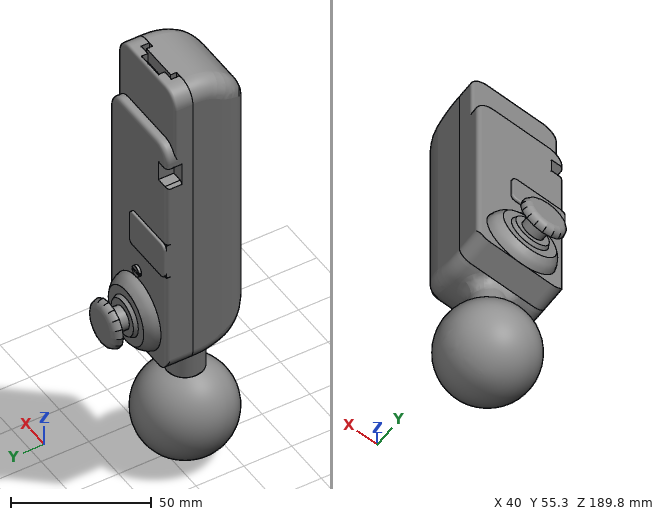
import cadquery as cq
import math


BALL_R = 20.0
STEM_R = 15.0 / 2
STEM_CHAMFER = 1.0
SEAT_Z = math.sqrt(BALL_R**2 - (STEM_R - STEM_CHAMFER) ** 2)
STEM_ROOT_R = 4.5

HALF_WIDTH = 19.2
GRIP_BOTTOM = 39.3
GRIP_TOP = 169.8
GRIP_HEIGHT = GRIP_TOP - GRIP_BOTTOM
GRIP_MIDDLE = (GRIP_BOTTOM + GRIP_TOP) / 2
TOP_CORNER_R = 7.0
BOTTOM_CORNER_R = 5.3

FRONT_Y = -17.8
PARTING_Y = 8.5
END_ARC_R = 24.7
FRONT_EDGE_R = 28.0 / 2

COVER_BACK_Y = 16.0
COVER_EDGE_R = 1.1
PLATE_BACK_Y = 19.5
PLATE_TOP = 145.7
PLATE_RUN_OUT = 19.0
PLATE_EDGE_R = 3.5 / 2

PAD_BACK_Y = 20.7
PAD_RIGHT = 4.5
PAD_BOTTOM = 84.6
PAD_TOP = 100.2
PAD_CORNER_R = 2.3
PAD_EDGE_R = 0.5

STUD_R = 2.3
STUD_Z = 73.8
STUD_SLOT_WIDTH = 0.8
STUD_SLOT_DEPTH = 0.8

NOTCH_FLOOR_Y = 13.0
NOTCH_TOP = 136.4
NOTCH_BOTTOM = 126.7
NOTCH_CHAMFER = 1.1
NOTCH_DEPTH = 5.5

PORT_HALF_WIDTH = 10.2
PORT_ROOF_Y = 12.0
NECK_HALF_WIDTH = 5.7
NECK_ROOF_Y = 13.0
RECESS_ROOF_Y = 14.6
RECESS_DEPTH = 4.2
TONGUE_HALF_WIDTH = 8.2
TONGUE_Y = 11.0
PORT_DEPTH = 5.7

STICK_Z = 54.5
BOOT_R = 15.4
BOOT_SHOULDER_R = 12.0
BOOT_SHOULDER_Y = 24.7
BOOT_ARC_MID = (14.2, 22.4)
COLLAR_BASE_R = 8.3
COLLAR_R = 15.0 / 2
COLLAR_Y = 26.2
STICK_R = 4.7
KNOB_SIDES = 16
KNOB_BACK_Y = 35.3
KNOB_FRONT_Y = 31.7
KNOB_FRONT_R = 9.5
KNOB_BACK_R = 6.0
KNOB_ARC_MID = (9.1, 33.8)


def block(x_range, y_range, z_range):
    """Box spanning the given (low, high) ranges."""
    (x0, x1), (y0, y1), (z0, z1) = x_range, y_range, z_range
    return cq.Workplane("XY").box(x1 - x0, y1 - y0, z1 - z0, centered=False).translate((x0, y0, z0))


def back_plane(y, z=0):
    """Sketch plane at depth y whose local axes are X and Z and whose normal is -Y."""
    return cq.Workplane("XZ", origin=(0, y, z))


def grip_slab(y0, y1):
    """Slab with the grip's rounded XZ outline."""
    return (
        back_plane(y0, GRIP_MIDDLE)
        .rect(2 * HALF_WIDTH, GRIP_HEIGHT)
        .extrude(-(y1 - y0))
        .edges("|Y and >Z")
        .fillet(TOP_CORNER_R)
        .edges("|Y and <Z")
        .fillet(BOTTOM_CORNER_R)
    )


def make_housing():
    """Front half of the grip with curved ends, rounded edges, the port tongue and the stem."""
    arc_y = FRONT_Y + END_ARC_R
    diagonal = END_ARC_R * math.sqrt(0.5)
    body = (
        cq.Workplane("YZ", origin=(-HALF_WIDTH, 0, 0))
        .moveTo(PARTING_Y, GRIP_BOTTOM)
        .lineTo(arc_y, GRIP_BOTTOM)
        .threePointArc(
            (arc_y - diagonal, GRIP_BOTTOM + END_ARC_R - diagonal), (FRONT_Y, GRIP_BOTTOM + END_ARC_R)
        )
        .lineTo(FRONT_Y, GRIP_TOP - END_ARC_R)
        .threePointArc((arc_y - diagonal, GRIP_TOP - END_ARC_R + diagonal), (arc_y, GRIP_TOP))
        .lineTo(PARTING_Y, GRIP_TOP)
        .close()
        .extrude(2 * HALF_WIDTH)
    )
    rounded_front = (
        block((-HALF_WIDTH, HALF_WIDTH), (FRONT_Y, PARTING_Y), (GRIP_BOTTOM, GRIP_TOP))
        .edges("|Z and <Y")
        .fillet(FRONT_EDGE_R)
    )
    body = body.intersect(rounded_front)
    body = fillet_end(body, GRIP_MIDDLE, GRIP_TOP, TOP_CORNER_R)
    body = fillet_end(body, GRIP_BOTTOM, GRIP_MIDDLE, BOTTOM_CORNER_R)
    tongue = block(
        (-TONGUE_HALF_WIDTH, TONGUE_HALF_WIDTH), (PARTING_Y, TONGUE_Y), (GRIP_TOP - PORT_DEPTH, GRIP_TOP)
    )
    return add_stem(body).union(tongue)


def fillet_end(body, z0, z1, radius):
    """Round the edges between the sides and the curved end that lies between two heights."""
    end_box = cq.selectors.BoxSelector((-HALF_WIDTH, FRONT_Y, z0), (HALF_WIDTH, PARTING_Y, z1))
    return body.edges("not(|X or |Z)").edges(end_box).fillet(radius)


def add_stem(body):
    """Join the stem to the bottom of the grip with a filleted root and a chamfered free end."""
    stem_top = GRIP_BOTTOM + END_ARC_R
    stem = (
        cq.Workplane("XY", origin=(0, 0, SEAT_Z))
        .circle(STEM_R)
        .extrude(stem_top - SEAT_Z)
        .faces("<Z")
        .chamfer(STEM_CHAMFER)
    )
    joined = body.union(stem)
    root = cq.selectors.BoxSelector(
        (-STEM_R, -STEM_R, GRIP_BOTTOM - STEM_ROOT_R), (STEM_R, STEM_R, stem_top)
    )
    return joined.edges(root).fillet(STEM_ROOT_R)


def make_ball():
    """Ball with a flat seat for the end of the stem."""
    above_seat = block((-BALL_R, BALL_R), (-BALL_R, BALL_R), (SEAT_Z, BALL_R))
    return cq.Workplane("XY").sphere(BALL_R).cut(above_seat)


def make_cover():
    """Back half of the grip with its raised plate, pad and stud, and the notch and port cut in."""
    base = grip_slab(PARTING_Y, COVER_BACK_Y).faces(">Y").edges().fillet(COVER_EDGE_R)
    cover = base.union(make_plate()).union(make_pad()).union(make_stud())
    return cover.cut(make_notch()).cut(make_port())


def make_plate():
    """Raised plate with a rounded upper end, trimmed at the bottom to the grip outline."""
    height = PLATE_TOP - GRIP_BOTTOM + PLATE_RUN_OUT
    plate = (
        back_plane(PARTING_Y, PLATE_TOP - height / 2)
        .rect(2 * HALF_WIDTH, height)
        .extrude(-(PLATE_BACK_Y - PARTING_Y))
        .edges("|Y")
        .fillet(TOP_CORNER_R)
        .faces(">Y")
        .edges()
        .fillet(PLATE_EDGE_R)
    )
    return plate.intersect(grip_slab(PARTING_Y, PLATE_BACK_Y))


def make_pad():
    """Switch pad with rounded corners, square and flush with the grip side below the plate face."""
    pad = block((-HALF_WIDTH, PAD_RIGHT), (COVER_BACK_Y, PAD_BACK_Y), (PAD_BOTTOM, PAD_TOP))
    pad = pad.edges("|Y").fillet(PAD_CORNER_R)
    side = block((-HALF_WIDTH, 0), (COVER_BACK_Y, PLATE_BACK_Y), (PAD_BOTTOM, PAD_TOP))
    return pad.faces(">Y").edges().fillet(PAD_EDGE_R).union(side)


def make_stud():
    """Round stud with a slot across its end."""
    stud = back_plane(COVER_BACK_Y, STUD_Z).circle(STUD_R).extrude(-(PAD_BACK_Y - COVER_BACK_Y))
    slot = block(
        (-STUD_R, STUD_R),
        (PAD_BACK_Y - STUD_SLOT_DEPTH, PAD_BACK_Y),
        (STUD_Z - STUD_SLOT_WIDTH / 2, STUD_Z + STUD_SLOT_WIDTH / 2),
    )
    return stud.cut(slot)


def make_notch():
    """Cutter for the side notch, with its mouth chamfered at the lower edge."""
    inner_x = -HALF_WIDTH + NOTCH_DEPTH
    return (
        cq.Workplane("XZ", origin=(0, PLATE_BACK_Y, 0))
        .polyline(
            [
                (-HALF_WIDTH, NOTCH_BOTTOM),
                (-HALF_WIDTH + NOTCH_CHAMFER, NOTCH_BOTTOM + NOTCH_CHAMFER),
                (inner_x, NOTCH_BOTTOM + NOTCH_CHAMFER),
                (inner_x, NOTCH_TOP),
                (-HALF_WIDTH, NOTCH_TOP),
            ]
        )
        .close()
        .extrude(PLATE_BACK_Y - NOTCH_FLOOR_Y)
    )


def make_port():
    """Cutter for the port: a wide slot, a narrower neck above it and a shallower recess."""
    z_range = (GRIP_TOP - PORT_DEPTH, GRIP_TOP)
    slot = block((-PORT_HALF_WIDTH, PORT_HALF_WIDTH), (PARTING_Y, PORT_ROOF_Y), z_range)
    neck_x = (-NECK_HALF_WIDTH, NECK_HALF_WIDTH)
    neck = block(neck_x, (PARTING_Y, NECK_ROOF_Y), z_range)
    recess = block(neck_x, (PARTING_Y, RECESS_ROOF_Y), (GRIP_TOP - RECESS_DEPTH, GRIP_TOP))
    return slot.union(neck).union(recess)


def make_boot():
    """Domed boot around the stick, revolved about the stick axis, with a flared collar."""
    return (
        cq.Workplane("XY")
        .moveTo(0, PLATE_BACK_Y)
        .lineTo(BOOT_R, PLATE_BACK_Y)
        .threePointArc(BOOT_ARC_MID, (BOOT_SHOULDER_R, BOOT_SHOULDER_Y))
        .lineTo(COLLAR_BASE_R, BOOT_SHOULDER_Y)
        .lineTo(COLLAR_R, COLLAR_Y)
        .lineTo(0, COLLAR_Y)
        .close()
        .revolve(360, (0, 0, 0), (0, 1, 0))
        .translate((0, 0, STICK_Z))
    )


def make_knob():
    """Faceted knob on the stick axis: the common volume of slabs turned in even steps."""
    arc_x, arc_y = KNOB_ARC_MID
    slab = (
        cq.Workplane("XY", origin=(0, 0, -BOOT_R))
        .moveTo(-KNOB_FRONT_R, KNOB_FRONT_Y)
        .lineTo(KNOB_FRONT_R, KNOB_FRONT_Y)
        .threePointArc((arc_x, arc_y), (KNOB_BACK_R, KNOB_BACK_Y))
        .lineTo(-KNOB_BACK_R, KNOB_BACK_Y)
        .threePointArc((-arc_x, arc_y), (-KNOB_FRONT_R, KNOB_FRONT_Y))
        .close()
        .extrude(2 * BOOT_R)
    )
    step = 360 / KNOB_SIDES
    turned = [slab.rotate((0, 0, 0), (0, 1, 0), (i + 0.5) * step) for i in range(KNOB_SIDES // 2)]
    knob = turned[0]
    for other in turned[1:]:
        knob = knob.intersect(other)
    return knob.translate((0, 0, STICK_Z))


def make_joystick():
    """Round stick standing on the boot and carrying the knob."""
    stick = back_plane(COLLAR_Y, STICK_Z).circle(STICK_R).extrude(-(KNOB_FRONT_Y - COLLAR_Y))
    return stick.union(make_knob())


housing = make_housing()
ball = make_ball()
cover = make_cover()
boot = make_boot()
joystick = make_joystick()

result = cq.Compound.makeCompound([housing.val(), ball.val(), cover.val(), boot.val(), joystick.val()])